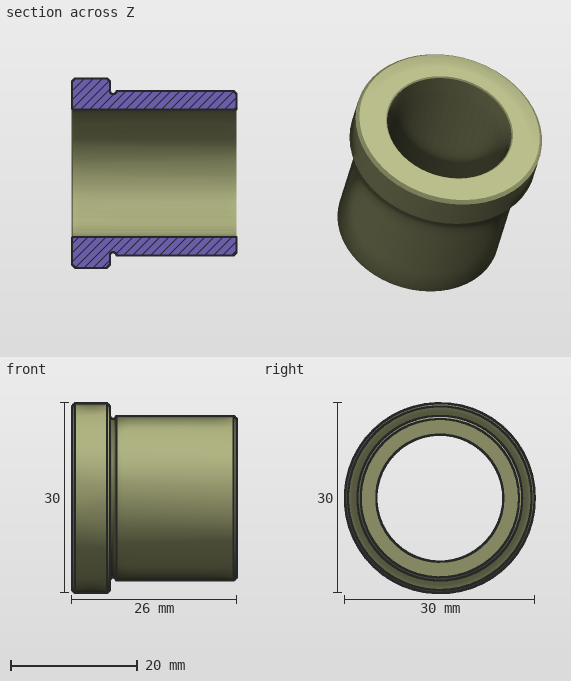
import cadquery as cq

total_length = 26.0
flange_diameter = 30
flange_length = 6
body_diameter = 26.0
bore_diameter = 20.0
edge_chamfer = 0.5
bore_chamfer = 0.2
groove_width = 1.0

flange_radius = flange_diameter / 2
body_radius = body_diameter / 2
bore_radius = bore_diameter / 2
groove_radius = groove_width / 2
groove_end = flange_length + groove_width

half_section = (
    cq.Workplane("XY")
    .moveTo(bore_chamfer, bore_radius)
    .lineTo(0, bore_radius + bore_chamfer)
    .lineTo(0, flange_radius - edge_chamfer)
    .lineTo(edge_chamfer, flange_radius)
    .lineTo(flange_length - edge_chamfer, flange_radius)
    .lineTo(flange_length, flange_radius - edge_chamfer)
    .lineTo(flange_length, body_radius)
    .threePointArc(
        (flange_length + groove_radius, body_radius - groove_radius),
        (groove_end, body_radius),
    )
    .lineTo(total_length - edge_chamfer, body_radius)
    .lineTo(total_length, body_radius - edge_chamfer)
    .lineTo(total_length, bore_radius)
    .close()
)

result = half_section.revolve(360, (0, 0, 0), (1, 0, 0))